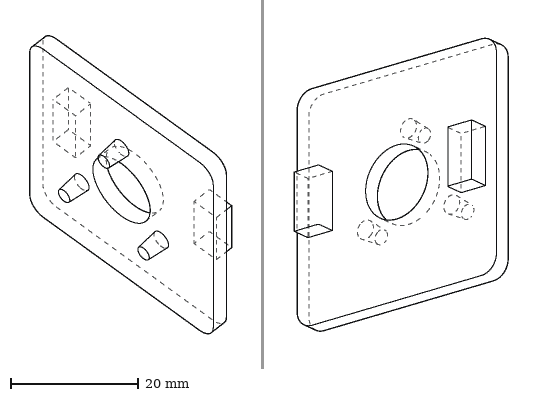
import cadquery as cq

plate_side = 40.0
plate_thickness = 3.0
corner_radius = 3.0
bore_diameter = 12.5

pin_count = 3
pin_circle_radius = 10.0
first_pin_angle = 90.0
pin_length = 4.0
pin_base_diameter = 3.2
pin_taper_angle = 5.0

total_depth = 10.5
block_width = 4.9
block_height = 10.0
block_edge_gap = 2.2
block_depth = total_depth - plate_thickness - pin_length
block_center_x = plate_side / 2 - block_edge_gap - block_width / 2
block_edge_radius = 0.2


def make_plate():
    """Rounded square plate with a central through bore."""
    plate = cq.Workplane("XY").box(
        plate_side, plate_thickness, plate_side, centered=(True, False, True)
    )
    plate = plate.edges("|Y").fillet(corner_radius)
    bore = cq.Workplane("XZ").circle(bore_diameter / 2).extrude(-plate_thickness)
    return plate.cut(bore)


def make_pins():
    """Pins that narrow toward their free ends in the -Y direction."""
    return (
        cq.Workplane("XZ")
        .polarArray(pin_circle_radius, first_pin_angle, 360, pin_count)
        .circle(pin_base_diameter / 2)
        .extrude(pin_length, taper=pin_taper_angle)
    )


def make_block(side):
    """Rear block on the given X side, with its inner rear edge rounded."""
    block = cq.Workplane("XY").box(
        block_width, block_depth, block_height, centered=(True, False, True)
    )
    inner_face = "<X" if side > 0 else ">X"
    block = block.faces(inner_face).edges(">Y").fillet(block_edge_radius)
    return block.translate((side * block_center_x, plate_thickness, 0))


result = make_plate().union(make_pins())
for side in (-1, 1):
    result = result.union(make_block(side))